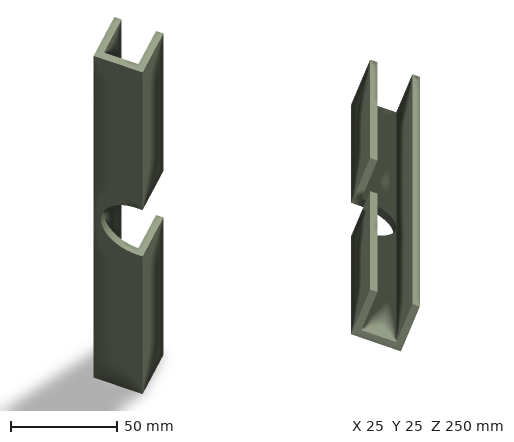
import cadquery as cq

length = 250.0
side = 25.0
wall = 3.8

notch_radius = 18.0
notch_floor = 3.8


def make_channel():
    body = cq.Workplane("XY").box(side, side, length)
    groove = (
        cq.Workplane("XY")
        .box(side - 2 * wall, side, length)
        .translate((0, wall, 0))
    )
    return body.cut(groove)


def make_notch():
    """Cylinder along Y, extended straight out past the +X face."""
    center_x = -side / 2 + notch_floor + notch_radius
    cylinder = (
        cq.Workplane("XZ")
        .center(center_x, 0)
        .circle(notch_radius)
        .extrude(side / 2, both=True)
    )
    mouth = (
        cq.Workplane("XY")
        .box(side, side, 2 * notch_radius)
        .translate((center_x + side / 2, 0, 0))
    )
    return cylinder.union(mouth)


result = make_channel().cut(make_notch())